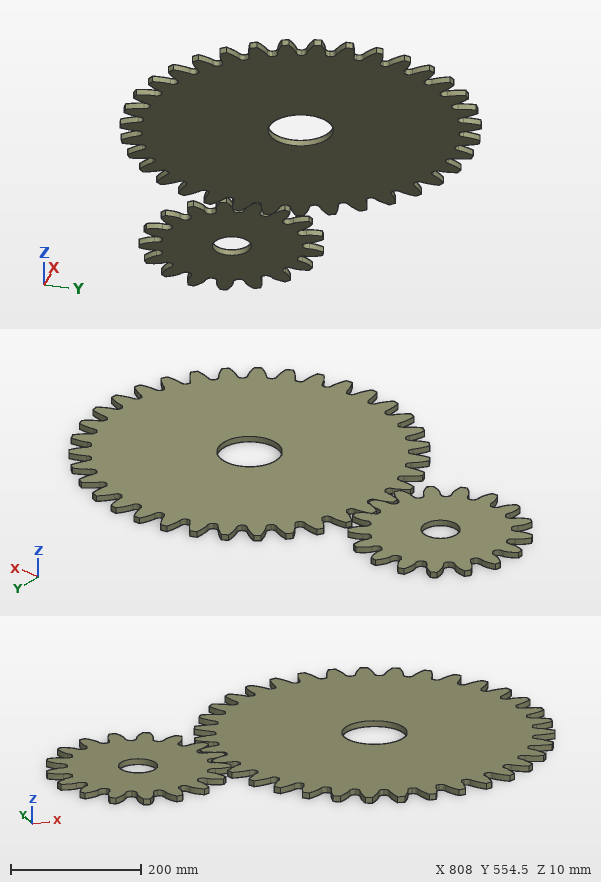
import cadquery as cq
import math

overall_length = 808.0
thickness = 10.0
pressure_angle = math.radians(20)
pinion_teeth = 17
wheel_teeth = 35
pinion_bore = 60.0
wheel_bore = 100.0

addendum = 1.0
dedendum = 1.25
rack_tip_radius = 0.38

curve_points = 10


def involute(angle):
    """Involute function of a pressure angle."""
    return math.tan(angle) - angle


def polar(radius, angle):
    """Point at a radius and an angle from +X."""
    return (radius * math.cos(angle), radius * math.sin(angle))


def evenly_spaced(start, end):
    """Values from start to end, one for each point of a curve."""
    step = (end - start) / (curve_points - 1)
    return [start + i * step for i in range(curve_points)]


def half_tooth_angle(teeth, radius):
    """Half the angle an involute tooth spans at a radius in modules."""
    base_radius = teeth / 2 * math.cos(pressure_angle)
    local_angle = math.acos(min(1.0, base_radius / radius))
    return math.pi / (2 * teeth) + involute(pressure_angle) - involute(local_angle)


def root_point(teeth, normal_angle):
    """Radius in modules and half tooth angle of the root curve that the rack's rounded tip sweeps.

    The normal angle runs from a right angle at the root circle to the pressure angle at the flank.
    """
    pitch_radius = teeth / 2
    center_depth = dedendum - rack_tip_radius
    center_offset = (
        math.pi / 4
        - dedendum * math.tan(pressure_angle)
        - rack_tip_radius * (1 - math.sin(pressure_angle)) / math.cos(pressure_angle)
    )
    normal_run = center_depth / math.tan(normal_angle)
    roll_angle = (center_offset - normal_run) / pitch_radius
    across = normal_run + rack_tip_radius * math.cos(normal_angle)
    outward = pitch_radius - center_depth - rack_tip_radius * math.sin(normal_angle)
    half_gap_angle = roll_angle + math.atan2(across, outward)
    return math.hypot(across, outward), math.pi / teeth - half_gap_angle


pinion_tip = pinion_teeth / 2 + addendum
wheel_tip = wheel_teeth / 2 + addendum
gap_half_angle = math.pi / pinion_teeth - half_tooth_angle(pinion_teeth, pinion_tip)
pinion_reach = pinion_tip * math.cos(gap_half_angle)
center_distance_in_modules = (pinion_teeth + wheel_teeth) / 2
module = overall_length / (pinion_reach + center_distance_in_modules + wheel_tip)
center_distance = module * center_distance_in_modules


def make_gear(teeth, bore):
    """Spur gear centred on the Z axis, with one tooth pointing along +X."""
    pitch_angle = 2 * math.pi / teeth
    tip_radius = teeth / 2 + addendum
    root_radius = teeth / 2 - dedendum

    root = [root_point(teeth, angle) for angle in evenly_spaced(math.pi / 2, pressure_angle)]
    flank_start = root[-1][0]
    flank = [(r, half_tooth_angle(teeth, r)) for r in evenly_spaced(flank_start, tip_radius)]
    root_half_angle = root[0][1]
    tip_half_angle = flank[-1][1]

    def side_points(half_side, tooth_angle, side):
        """Points of a half-tooth curve on the side before (-1) or after (+1) the tooth's middle."""
        return [polar(module * r, tooth_angle + side * half) for r, half in half_side]

    outline = cq.Workplane("XY").moveTo(*polar(module * root_radius, -root_half_angle))
    for tooth in range(teeth):
        middle = tooth * pitch_angle
        next_root = middle + pitch_angle - root_half_angle
        outline = (
            outline.spline(side_points(root[1:], middle, -1), includeCurrent=True)
            .spline(side_points(flank[1:], middle, -1), includeCurrent=True)
            .threePointArc(
                polar(module * tip_radius, middle),
                polar(module * tip_radius, middle + tip_half_angle),
            )
            .spline(side_points(flank[-2::-1], middle, 1), includeCurrent=True)
            .spline(side_points(root[-2::-1], middle, 1), includeCurrent=True)
            .threePointArc(
                polar(module * root_radius, middle + pitch_angle / 2),
                polar(module * root_radius, next_root),
            )
        )
    blank = outline.close().extrude(thickness)
    return blank.cut(cq.Workplane("XY").circle(bore / 2).extrude(thickness))


pinion = make_gear(pinion_teeth, pinion_bore)
wheel = make_gear(wheel_teeth, wheel_bore).translate((center_distance, 0, 0))

result = cq.Compound.makeCompound([pinion.val(), wheel.val()])